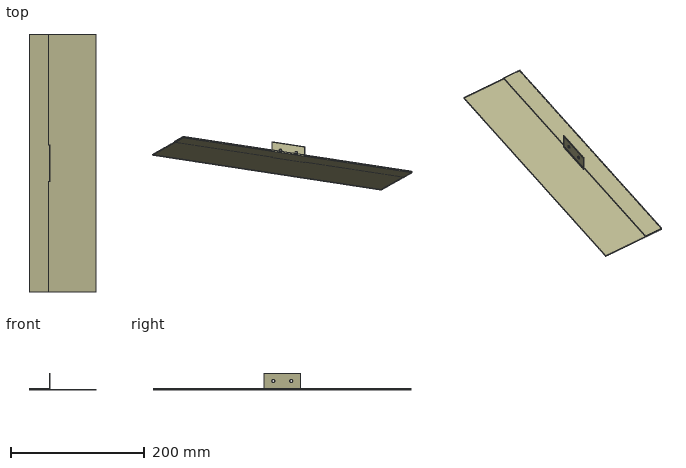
import cadquery as cq

plate_width = 100.0
plate_length = 385.0
strip_width = 28.8
strip_thickness = 2.1
panel_thickness = 1.0

total_height = 25.1
tab_length = 55.0
tab_thickness = 1.0
root_width = 1.1
tab_start_x = strip_width + root_width

hole_diameter = 4.2
hole_spacing = 26.5
hole_height = (strip_thickness + total_height) / 2


def make_slab(start_x, size_x, size_y, size_z):
    """Block with its base at Z = 0, centred on Y, starting at start_x."""
    return cq.Workplane("XY", origin=(start_x, 0, 0)).box(
        size_x, size_y, size_z, centered=(False, True, False)
    )


def make_base():
    panel = make_slab(0, plate_width, plate_length, panel_thickness)
    strip = make_slab(0, strip_width, plate_length, strip_thickness)
    return panel.union(strip)


def make_tab():
    root = make_slab(strip_width, root_width, tab_length, strip_thickness)
    upright = make_slab(tab_start_x, tab_thickness, tab_length, total_height)
    holes = (
        cq.Workplane("YZ", origin=(tab_start_x, 0, hole_height))
        .pushPoints([(-hole_spacing / 2, 0), (hole_spacing / 2, 0)])
        .circle(hole_diameter / 2)
        .extrude(tab_thickness)
    )
    return root.union(upright.cut(holes))


result = make_base().union(make_tab())